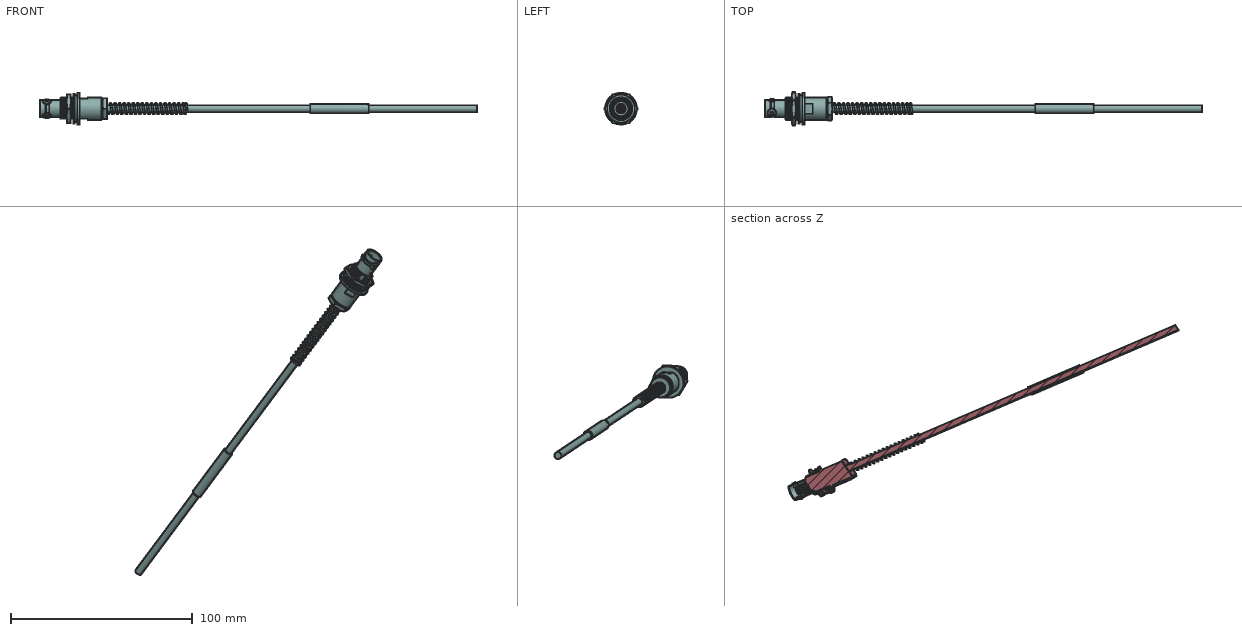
import cadquery as cq
import math


barrel_radius = 4.8
bore_radius = 4.0
bore_chamfer = 0.2
bore_depth = 9.6
contact_start = 3.8
contact_radius = 2.6
contact_bore_radius = 2.0
pin_radius = 1.2
pin_bore_radius = 0.5

groove_start = 3.0
groove_end = 5.0
groove_slope_length = 0.7
groove_depth = 0.2

lug_x = 3.8
lug_radius = 1.0
lug_reach = 5.5
lug_pad_radius = 2.5
lug_pad_rise = 0.12
lug_count = 3

thread_start = 11.0
thread_radius = 6.3
thread_depth = 0.5
thread_pitch = 0.91
thread_chamfer = 0.7

flange_start = 20.5
flange_end = 22.0
flange_radius = 17.5 / 2
body_radius = 6.3
body_end = 34.5
body_chamfer = 0.7
across_body_flats = 11.3
flat_end = 26.2

nut_start = 14.7
nut_thickness = 2.5
nut_across_flats = 16.0
nut_face_radius = 7.7
washer_start = 18.3
washer_thickness = 1.0
washer_radius = 8.2
seal_wire_radius = 0.6
seal_mean_radius = washer_radius - 2 * seal_wire_radius

clamp_end = 37.0
clamp_across_flats = 11.5
clamp_face_radius = 5.5
hex_chamfer_angle = 20

cable_radius = 2.0
cable_end = 240.5
spring_wire_radius = 0.55
spring_mean_radius = 2.6
spring_open_turns = 16.8
spring_closed_gap = 0.05
spring_end = 81.3
sleeve_start = 148.7
sleeve_end = 181.0
sleeve_radius = 2.6


def cylinder(radius, start, end):
    return cq.Workplane("YZ", origin=(start, 0, 0)).circle(radius).extrude(end - start)


def tube(outer_radius, inner_radius, start, end):
    return cylinder(outer_radius, start, end).cut(cylinder(inner_radius, start, end))


def turned(points):
    """Solid of revolution about X from (x, radius) points."""
    return cq.Workplane("XY").polyline(points).close().revolve(360, (0, 0, 0), (1, 0, 0))


def torus(mean_radius, wire_radius, x):
    section = cq.Workplane("XY").center(x, mean_radius).circle(wire_radius)
    return section.revolve(360, (0, -mean_radius, 0), (1, -mean_radius, 0))


def hex_nut(across_flats, face_radius, hole_radius, start, end):
    """Hexagon nut with corners on +Y and -Y, both faces chamfered to a circle."""
    corner_radius = across_flats / math.sqrt(3)
    chamfer = (corner_radius - face_radius) * math.tan(math.radians(hex_chamfer_angle))
    hexagon = cq.Workplane("YZ", origin=(start, 0, 0)).polygon(6, 2 * corner_radius).extrude(end - start)
    envelope = turned([
        (start, 0),
        (start, face_radius),
        (start + chamfer, corner_radius),
        (end - chamfer, corner_radius),
        (end, face_radius),
        (end, 0),
    ])
    return hexagon.intersect(envelope).cut(cylinder(hole_radius, start, end))


def beyond_flat(side, start, end):
    """Block that fills the space beyond the flat on the +Z (side 1) or -Z (side -1) side."""
    flat_height = across_body_flats / 2
    height = flange_radius - flat_height
    block = cq.Workplane("XY").box(end - start, 2 * flange_radius, height)
    return block.translate(((start + end) / 2, 0, side * (flat_height + height / 2)))


def barrel_with_contact():
    """Front barrel: grooved outside, bored inside, with the tubular contact and pin in the bore."""
    barrel = cylinder(barrel_radius, 0, thread_start)
    bore = cylinder(bore_radius, 0, bore_depth)
    mouth = turned([(0, 0), (0, bore_radius + bore_chamfer), (bore_chamfer, bore_radius), (bore_chamfer, 0)])
    groove = turned([
        (groove_start, barrel_radius),
        (groove_start + groove_slope_length, barrel_radius - groove_depth),
        (groove_end, barrel_radius - groove_depth),
        (groove_end, barrel_radius),
    ])
    contact = tube(contact_radius, contact_bore_radius, contact_start, bore_depth)
    pin = tube(pin_radius, pin_bore_radius, contact_start, bore_depth)
    return barrel.cut(bore).cut(mouth).cut(groove).union(contact).union(pin)


def bayonet_lug(angle):
    """Round lug on a low round pad, pointing to +Y and then turned about X."""
    root_radius = (bore_radius + barrel_radius) / 2
    lug_plane = cq.Workplane("XZ", origin=(lug_x, 0, 0))
    shell = tube(barrel_radius + lug_pad_rise, root_radius, 0, thread_start)
    pad = lug_plane.circle(lug_pad_radius).extrude(-lug_reach).intersect(shell)
    lug = lug_plane.circle(lug_radius).extrude(-lug_reach).cut(cylinder(root_radius, 0, thread_start))
    return pad.union(lug).rotate((0, 0, 0), (1, 0, 0), angle)


def threaded_neck():
    """Neck with trapezoidal ring grooves, a chamfered front edge and one flat on -Z."""
    root_radius = thread_radius - thread_depth
    first_crest = thread_start + thread_chamfer
    groove_count = int((flange_start - first_crest) / thread_pitch)
    step = thread_pitch / 4
    points = [(thread_start, 0), (thread_start, thread_radius - thread_chamfer), (first_crest, thread_radius)]
    for i in range(groove_count):
        crest_end = first_crest + i * thread_pitch + step
        points += [
            (crest_end, thread_radius),
            (crest_end + step, root_radius),
            (crest_end + 2 * step, root_radius),
            (crest_end + 3 * step, thread_radius),
        ]
    points += [(flange_start, thread_radius), (flange_start, 0)]
    return turned(points).cut(beyond_flat(-1, thread_start, flange_start))


def rear_body():
    """Rear cylinder with a chamfered end and a short flat on top and bottom."""
    body = cylinder(body_radius, flange_end, body_end).faces(">X").chamfer(body_chamfer)
    for side in (1, -1):
        body = body.cut(beyond_flat(side, flange_end, flat_end))
    return body


def build_housing():
    housing = barrel_with_contact()
    for i in range(lug_count):
        housing = housing.union(bayonet_lug(i * 360 / lug_count))
    flange = cylinder(flange_radius, flange_start, flange_end)
    return housing.union(threaded_neck()).union(flange).union(rear_body())


def spring_coil(pitch, turns, start, start_angle):
    """Right-hand coil from x = start, its first section turned about X by start_angle."""
    helix = cq.Wire.makeHelix(pitch, pitch * turns, spring_mean_radius)
    wire_plane = cq.Plane(origin=(spring_mean_radius, 0, 0), xDir=(-1, 0, 0), normal=(0, -1, 0))
    coil = cq.Workplane(wire_plane).circle(spring_wire_radius).sweep(cq.Workplane(helix), isFrenet=True)
    coil = coil.rotate((0, 0, 0), (0, 1, 0), 90).translate((start, 0, 0))
    return coil.rotate((0, 0, 0), (1, 0, 0), start_angle)


def build_spring():
    """Open coils that continue into one nearly closed coil at the cable end."""
    first_coil = clamp_end + spring_wire_radius
    closed_pitch = 2 * spring_wire_radius + spring_closed_gap
    closed_start = spring_end - spring_wire_radius - closed_pitch
    open_pitch = (closed_start - first_coil) / spring_open_turns
    open_coils = spring_coil(open_pitch, spring_open_turns, first_coil, 0)
    closed_angle = 360 * spring_open_turns
    closed_coil = spring_coil(closed_pitch, 1, closed_start, closed_angle)
    return open_coils.union(closed_coil)


housing = build_housing()
panel_nut = hex_nut(nut_across_flats, nut_face_radius, thread_radius, nut_start, nut_start + nut_thickness)
washer = tube(washer_radius, thread_radius, washer_start, washer_start + washer_thickness)
seal = torus(seal_mean_radius, seal_wire_radius, flange_start - seal_wire_radius)
clamp_nut = hex_nut(clamp_across_flats, clamp_face_radius, cable_radius, body_end, clamp_end)
spring = build_spring()
cable = cylinder(cable_radius, body_end, cable_end)
sleeve = tube(sleeve_radius, cable_radius, sleeve_start, sleeve_end)

result = cq.Compound.makeCompound([
    housing.val(),
    panel_nut.val(),
    washer.val(),
    seal.val(),
    clamp_nut.val(),
    spring.val(),
    cable.val(),
    sleeve.val(),
])